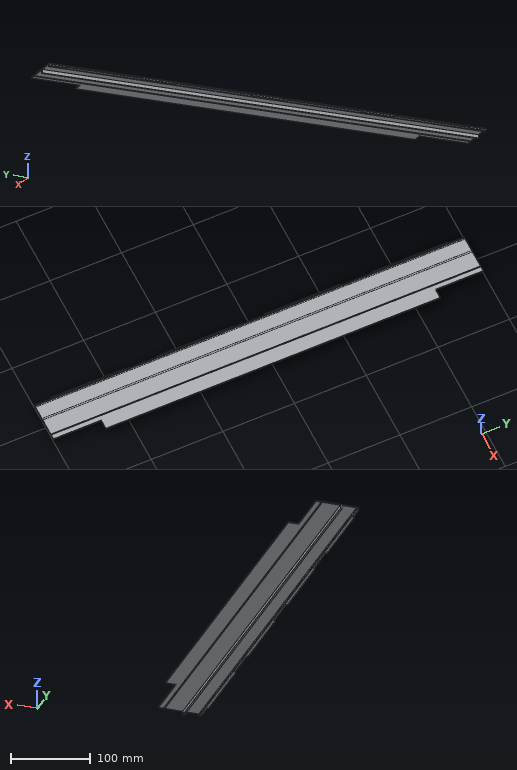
import cadquery as cq

length = 600.0
width = 73.0
height = 6.0

plate_thickness = 1.45
groove_center = 51.5
groove_width = 1.0
groove_depth = 0.5
plate_left = 3.5
notch_left = 59.5
notch_length = 66.5

lip_left = 2.0
lip_right = 5.5
lip_bottom = 2.5
bead_width = 0.5
bead_bottom = 2.0

tab_count = 4
tab_length = 105.0
tab_pitch = length / tab_count
tab_thickness = 2.0

rib_center = 26.0
rib_width = 2.5

plate_bottom = height - plate_thickness


def bar(x_min, x_max, z_min, z_max, bar_length=length, y_center=0.0):
    """Rectangular bar along Y with the given section."""
    return cq.Workplane("XY").box(
        x_max - x_min, bar_length, z_max - z_min, centered=(False, True, False)
    ).translate((x_min, y_center, z_min))


def plate():
    """Full-length strip with notched right corners and a shallow groove underneath."""
    strip = bar(plate_left, notch_left, plate_bottom, height)
    wide_part = bar(plate_left, width, plate_bottom, height, length - 2 * notch_length)
    groove = bar(
        groove_center - groove_width / 2,
        groove_center + groove_width / 2,
        plate_bottom,
        plate_bottom + groove_depth,
    )
    return strip.union(wide_part).cut(groove)


def lip():
    """Lowered left edge with a small bead on its underside."""
    ledge = bar(lip_left, lip_right, lip_bottom, plate_bottom)
    bead = bar(lip_right - bead_width, lip_right, bead_bottom, lip_bottom)
    return ledge.union(bead)


def tabs():
    """Equally spaced tabs along the left edge."""
    row = cq.Workplane("XY")
    for index in range(tab_count):
        y_center = (index - (tab_count - 1) / 2) * tab_pitch
        tab = bar(0, lip_right, lip_bottom, lip_bottom + tab_thickness, tab_length, y_center)
        row = row.add(tab)
    return row.combine()


def rib():
    """Rib reaching from the plate to the bottom of the envelope."""
    return bar(rib_center - rib_width / 2, rib_center + rib_width / 2, 0, plate_bottom)


result = plate().union(lip()).union(tabs()).union(rib())